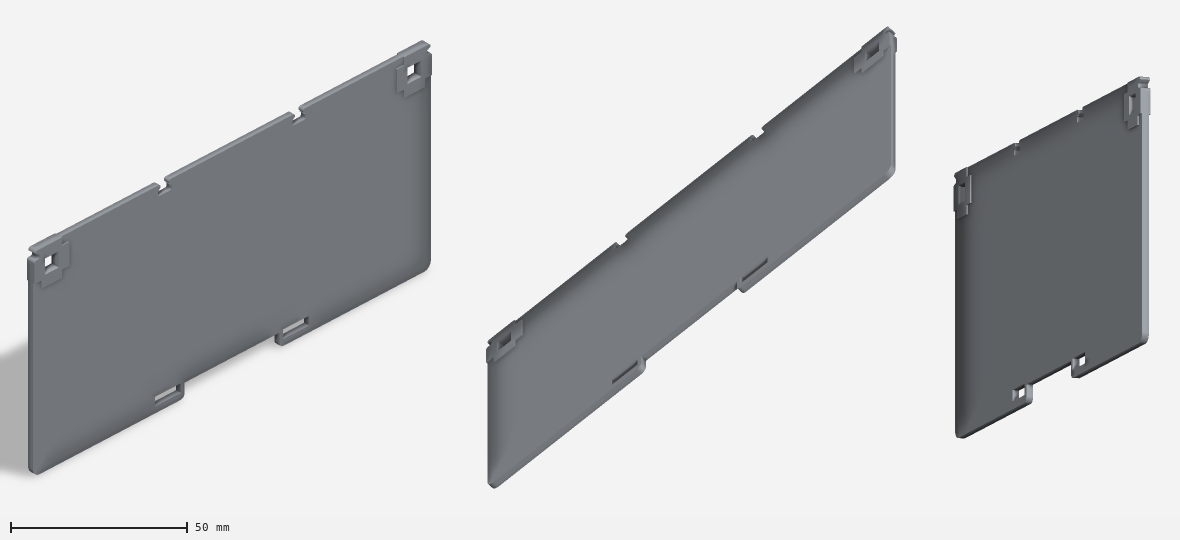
import cadquery as cq
import math

length = 155.8
height = 76.5
sheet_thickness = 2.0
pad_thickness = 3.0
outer_corner_radius = 2.6

recess_half_width = 18.5
recess_depth = 5.1
recess_corner_radius = 1.7
window_length = 10.3
window_height = 3.3
window_inset = 1.4
window_bottom = 2.3

notch_spacing = 52.7
notch_width = 5.1
notch_depth = 3.7
notch_mouth_width = 3.3
notch_lip_height = 1.9
notch_corner_radius = 0.5
notch_lip_radius = 0.8

pad_reach = 13.7
pad_step = 2.8
hole_size = 4.5
hole_flare = 0.5
hole_flare_depth = 1.1
hole_center_inset = pad_reach / 2

hook_top_inset = 1.4
hook_tip_inset = 0.5
hook_lip_height = 1.5
hook_throat_inset = 2.0
hook_throat_radius = 0.6
hook_floor_drop = 3.3
hook_shoulder_radius = 0.8

half_length = length / 2

quarter_arc_gap = 1 - math.sqrt(0.5)


def block(thickness, y_min, y_max, z_min, z_max):
    """Box centred on X = 0 that spans the given Y and Z ranges."""
    size_y = y_max - y_min
    size_z = z_max - z_min
    box = cq.Workplane("XY").box(thickness, size_y, size_z)
    return box.translate((0, y_min + size_y / 2, z_min + size_z / 2))


def on_both_ends(shape):
    """Shape joined with its mirror image across the middle of the length."""
    return shape.union(shape.mirror("XZ"))


def make_sheet():
    """Plain sheet with rounded lower corners and a recess in the lower edge."""
    sheet = block(sheet_thickness, -half_length, half_length, 0, height)
    sheet = sheet.edges("|X and <Z").fillet(outer_corner_radius)
    recess = block(pad_thickness, -recess_half_width, recess_half_width, 0, recess_depth)
    sheet = sheet.cut(recess)
    recess_mouth = cq.selectors.BoxSelector(
        (-pad_thickness, -recess_half_width - recess_corner_radius, -recess_corner_radius),
        (pad_thickness, recess_half_width + recess_corner_radius, recess_corner_radius),
    )
    return sheet.edges("|X").edges(recess_mouth).fillet(recess_corner_radius)


def make_windows():
    """Rectangular openings beside the lower recess."""
    inner_end = recess_half_width + window_inset
    window_top = window_bottom + window_height
    window = block(pad_thickness, inner_end, inner_end + window_length, window_bottom, window_top)
    return on_both_ends(window)


def make_notches():
    """Notches with a narrow mouth between two rounded lips."""
    slot_top = height - notch_lip_height
    slot = block(pad_thickness, -notch_width / 2, notch_width / 2, height - notch_depth, slot_top)
    slot = slot.edges("|X").fillet(notch_corner_radius)
    half_mouth = notch_mouth_width / 2
    lip_edge = half_mouth + notch_lip_radius
    lip_middle = height - notch_lip_radius
    mouth = (
        cq.Workplane("YZ")
        .moveTo(-lip_edge, height)
        .threePointArc((-half_mouth, lip_middle), (-lip_edge, lip_middle - notch_lip_radius))
        .lineTo(-half_mouth, slot_top - notch_corner_radius)
        .lineTo(half_mouth, slot_top - notch_corner_radius)
        .lineTo(lip_edge, lip_middle - notch_lip_radius)
        .threePointArc((half_mouth, lip_middle), (lip_edge, height))
        .close()
        .extrude(pad_thickness / 2, both=True)
    )
    return on_both_ends(slot.union(mouth).translate((0, notch_spacing / 2, 0)))


def make_pads():
    """Thick pads at the upper corners, stepped at three of their corners."""
    inner = half_length - pad_reach
    bottom = height - pad_reach
    upright = block(pad_thickness, inner + pad_step, half_length - pad_step, bottom, height)
    crossbar = block(pad_thickness, inner, half_length, bottom + pad_step, height - pad_step)
    corner = block(pad_thickness, half_length - pad_step, half_length, height - pad_step, height)
    return on_both_ends(upright.union(crossbar).union(corner))


def make_pad_holes():
    """Square through holes that widen toward both faces."""
    hole = cq.Workplane("YZ").rect(hole_size, hole_size).extrude(pad_thickness / 2, both=True)
    mouth_size = hole_size + 2 * hole_flare
    flare = (
        cq.Workplane("YZ", origin=(pad_thickness / 2 - hole_flare_depth, 0, 0))
        .rect(hole_size, hole_size)
        .workplane(offset=hole_flare_depth)
        .rect(mouth_size, mouth_size)
        .loft(ruled=True)
    )
    hole = hole.union(flare).union(flare.mirror("YZ"))
    hole = hole.translate((0, half_length - hole_center_inset, height - hole_center_inset))
    return on_both_ends(hole)


def make_hook_cuts():
    """Material removed at the upper corners to leave a hooked lip over a rounded throat."""
    def point(inset, drop):
        return (half_length - inset, height - drop)

    throat_start = hook_throat_inset - hook_throat_radius
    lip_radius = hook_top_inset - hook_tip_inset
    lip_gap = lip_radius * quarter_arc_gap
    throat_gap = hook_throat_radius * quarter_arc_gap
    shoulder_gap = hook_shoulder_radius * quarter_arc_gap
    cut = (
        cq.Workplane("YZ")
        .moveTo(*point(0, 0))
        .lineTo(*point(hook_top_inset, 0))
        .threePointArc(
            point(hook_tip_inset + lip_gap, lip_gap),
            point(hook_tip_inset, lip_radius),
        )
        .lineTo(*point(throat_start, hook_lip_height))
        .threePointArc(
            point(hook_throat_inset - throat_gap, hook_lip_height + throat_gap),
            point(hook_throat_inset, hook_lip_height + hook_throat_radius),
        )
        .lineTo(*point(hook_throat_inset, hook_floor_drop - hook_throat_radius))
        .threePointArc(
            point(hook_throat_inset - throat_gap, hook_floor_drop - throat_gap),
            point(throat_start, hook_floor_drop),
        )
        .lineTo(*point(hook_shoulder_radius, hook_floor_drop))
        .threePointArc(
            point(shoulder_gap, hook_floor_drop + shoulder_gap),
            point(0, hook_floor_drop + hook_shoulder_radius),
        )
        .close()
        .extrude(pad_thickness / 2, both=True)
    )
    return on_both_ends(cut)


result = (
    make_sheet()
    .union(make_pads())
    .cut(make_windows())
    .cut(make_notches())
    .cut(make_pad_holes())
    .cut(make_hook_cuts())
)